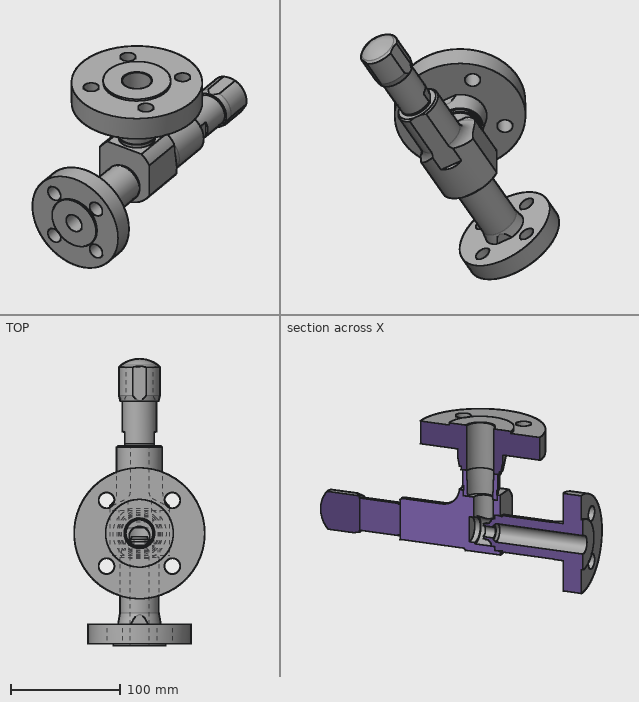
import cadquery as cq
import math


BLOCK_HALF_WIDTH = 27.4
BLOCK_FRONT_Y = -20.3
BLOCK_TOP_Z = 37.0
BLOCK_ROUND_RADIUS = 32.0
BLOCK_ROUND_CENTRE_Z = 11.0
BARREL_RADIUS = 21.0
BARREL_END_Y = 80.2
BARREL_CHAMFER = 1.5
SHOULDER_START_Y = 38.1
SHOULDER_RADIUS = 17.0
UNDERCUT_Z = -19.2
UNDERCUT_START_Y = 16.5

CHAMBER_RADIUS = 13.2
CHAMBER_END_Y = 5.0
GUIDE_BORE_RADIUS = 11.8
GUIDE_BORE_END_Y = 10.5
PORT_RADIUS = 9.5
PORT_Y = -3.2
SPIGOT_RADIUS = 16.8
SPIGOT_DEPTH = 5.3

BOLT_HOLE_RADIUS = 7.0
BOLT_HOLE_COUNT = 4

INLET_FACE = 103.0
INLET_RADIUS = 47.3
INLET_THICKNESS = 18.1
INLET_FACE_RADIUS = 24.2
INLET_FACE_HEIGHT = 1.8
INLET_BOLT_CIRCLE = 32.5
INLET_PIPE_RADIUS = 18.0
INLET_NECK_RADIUS = 19.7
INLET_NECK_LENGTH = 10.3
INLET_FLAT_OFFSET = 18.1
INLET_SPIGOT_GAP = 1.5
INLET_BORE_RADIUS = 8.7
INLET_BORE_TAPER_START = 15.8
INLET_BORE_TAPER_LENGTH = 2.5
THROAT_ENTRY_RADIUS = 6.3
THROAT_RADIUS = 5.0

SEAT_END = 3.2
SEAT_TIP_RADIUS = 7.0
SEAT_CONE_END = 5.5
SEAT_ROOT = 7.5
SEAT_ROOT_RADIUS = 8.0
SEAT_FLARE_RADIUS = 11.0
SEAT_FLARE_END = SEAT_ROOT + SEAT_FLARE_RADIUS - SEAT_ROOT_RADIUS

OUTLET_FACE = 100.2
OUTLET_RADIUS = 60.0
OUTLET_THICKNESS = 22.4
OUTLET_FACE_RADIUS = 31.0
OUTLET_FACE_HEIGHT = 2.0
OUTLET_BOLT_CIRCLE = 42.5
OUTLET_NECK_RADIUS = 24.5
OUTLET_NECK_END_RADIUS = 21.0
OUTLET_NECK_LENGTH = 16.3
OUTLET_FLAT_OFFSET = 23.0
OUTLET_LIP_RADIUS = 19.5
OUTLET_LIP_LENGTH = 3.2
OUTLET_BORE_RADIUS = 13.5
OUTLET_BORE_CHAMFER = 0.5
STUB_RADIUS = 18.0
STUB_BORE_RADIUS = 12.4
STUB_SPIGOT_GAP = 4.0
STUB_TOP_Z = OUTLET_FACE - OUTLET_FACE_HEIGHT - OUTLET_THICKNESS - OUTLET_NECK_LENGTH - OUTLET_LIP_LENGTH

BONNET_RADIUS = 15.8
BONNET_SHOULDER_Y = 81.8
BONNET_COLLAR_RADIUS = 15.0
BONNET_FLAT_OFFSET = 13.7
BONNET_FLAT_END_Y = 92.5
BONNET_FLAT_RUN_OUT = 0.5

CAP_START_Y = 120.7
CAP_START_RADIUS = 17.5
CAP_RADIUS = 19.0
CAP_CONE_END_Y = 126.2
CAP_CYLINDER_END_Y = 152.0
CAP_CHAMFER = 2.4
CAP_END_Y = 160.0
CAP_FLAT_OFFSET = 18.0
CAP_FLAT_COUNT = 3

CUTTER_SIZE = 157.8


def z_cylinder(radius, bottom, top):
    return cq.Workplane("XY").workplane(offset=bottom).circle(radius).extrude(top - bottom)


def turned_about_z(points):
    """Solid of revolution about Z from (radius, height) points."""
    return cq.Workplane("XZ").polyline(points).close().revolve(360, (0, 0), (0, 1))


def turned_about_y(points):
    """Solid of revolution about Y from (radius, position) points."""
    return cq.Workplane("XY").polyline(points).close().revolve(360, (0, 0), (0, 1))


def half_space_y(offset, bottom, top):
    """Block that lies beyond Y = offset, between two heights."""
    return (
        cq.Workplane("XY")
        .box(CUTTER_SIZE, CUTTER_SIZE, top - bottom, centered=(True, False, False))
        .translate((0, offset, bottom))
    )


def with_neck_flats(body, offset, bottom, top):
    """Trim a neck on the Z axis flat on both Y sides, between two heights."""
    cutter = half_space_y(offset, bottom, top)
    return body.cut(cutter).cut(cutter.mirror("XZ"))


def with_bolt_holes(body, bolt_circle, face):
    """Drill the bolt holes of a flange on the Z axis, midway between X and Y."""
    holes = (
        cq.Workplane("XY")
        .workplane(offset=face)
        .polarArray(bolt_circle, 180 / BOLT_HOLE_COUNT, 360, BOLT_HOLE_COUNT)
        .circle(BOLT_HOLE_RADIUS)
        .extrude(-face / 2)
    )
    return body.cut(holes)


def block_prism():
    """Block before its round end is turned: flat top and sides, trimmed by a cylinder along Y."""
    length = BARREL_END_Y - BLOCK_FRONT_Y
    height = BLOCK_TOP_Z - BLOCK_ROUND_CENTRE_Z + BLOCK_ROUND_RADIUS
    square = (
        cq.Workplane("XY")
        .box(2 * BLOCK_HALF_WIDTH, length, height, centered=(True, False, False))
        .translate((0, BLOCK_FRONT_Y, BLOCK_TOP_Z - height))
    )
    round_bar = (
        cq.Workplane("XZ", origin=(0, BARREL_END_Y, BLOCK_ROUND_CENTRE_Z))
        .circle(BLOCK_ROUND_RADIUS)
        .extrude(length)
    )
    return square.intersect(round_bar)


def turning_envelope():
    """Round envelope about Y: full size at the block, hollow shoulder, then the barrel."""
    shoulder_outer = BARREL_RADIUS + SHOULDER_RADIUS
    shoulder_end_y = SHOULDER_START_Y - SHOULDER_RADIUS
    slope = SHOULDER_RADIUS * math.sqrt(0.5)
    return (
        cq.Workplane("XY")
        .moveTo(0, BLOCK_FRONT_Y)
        .lineTo(CUTTER_SIZE, BLOCK_FRONT_Y)
        .lineTo(CUTTER_SIZE, shoulder_end_y)
        .lineTo(shoulder_outer, shoulder_end_y)
        .threePointArc((shoulder_outer - slope, SHOULDER_START_Y - slope), (BARREL_RADIUS, SHOULDER_START_Y))
        .lineTo(BARREL_RADIUS, BARREL_END_Y - BARREL_CHAMFER)
        .lineTo(BARREL_RADIUS - BARREL_CHAMFER, BARREL_END_Y)
        .lineTo(0, BARREL_END_Y)
        .close()
        .revolve(360, (0, 0), (0, 1))
    )


def undercut():
    """Flat milled under the barrel, with a 45 degree run-out towards the block."""
    depth = BARREL_RADIUS
    return (
        cq.Workplane("YZ", origin=(-BLOCK_HALF_WIDTH, 0, 0))
        .moveTo(UNDERCUT_START_Y, UNDERCUT_Z)
        .lineTo(BARREL_END_Y, UNDERCUT_Z)
        .lineTo(BARREL_END_Y, UNDERCUT_Z - depth)
        .lineTo(UNDERCUT_START_Y - depth, UNDERCUT_Z - depth)
        .close()
        .extrude(2 * BLOCK_HALF_WIDTH)
    )


def block_passages():
    """Chamber and inlet recess on Y, outlet recess and offset port on Z."""
    inlet_recess_end = BLOCK_FRONT_Y + SPIGOT_DEPTH
    inlet_bores = turned_about_y([
        (0, BLOCK_FRONT_Y),
        (SPIGOT_RADIUS, BLOCK_FRONT_Y),
        (SPIGOT_RADIUS, inlet_recess_end),
        (CHAMBER_RADIUS, inlet_recess_end),
        (CHAMBER_RADIUS, CHAMBER_END_Y),
        (GUIDE_BORE_RADIUS, CHAMBER_END_Y),
        (GUIDE_BORE_RADIUS, GUIDE_BORE_END_Y),
        (0, GUIDE_BORE_END_Y),
    ])
    outlet_floor = BLOCK_TOP_Z - SPIGOT_DEPTH
    outlet_recess = z_cylinder(SPIGOT_RADIUS, outlet_floor, BLOCK_TOP_Z)
    port = z_cylinder(PORT_RADIUS, 0, outlet_floor).translate((0, PORT_Y, 0))
    return inlet_bores.union(outlet_recess).union(port)


def make_housing():
    return block_prism().intersect(turning_envelope()).cut(undercut()).cut(block_passages())


def make_inlet_nozzle():
    """Flange, pipe and seat in one piece, built on Z and turned to point along -Y."""
    plate_front = INLET_FACE - INLET_FACE_HEIGHT
    plate_back = plate_front - INLET_THICKNESS
    neck_end = plate_back - INLET_NECK_LENGTH
    pipe_end = -BLOCK_FRONT_Y + INLET_SPIGOT_GAP
    spigot_end = -BLOCK_FRONT_Y - SPIGOT_DEPTH
    taper_end = INLET_BORE_TAPER_START - INLET_BORE_TAPER_LENGTH
    nozzle = turned_about_z([
        (THROAT_RADIUS, SEAT_END),
        (SEAT_TIP_RADIUS, SEAT_END),
        (SEAT_ROOT_RADIUS, SEAT_CONE_END),
        (SEAT_ROOT_RADIUS, SEAT_ROOT),
        (SEAT_FLARE_RADIUS, SEAT_FLARE_END),
        (CHAMBER_RADIUS, SEAT_FLARE_END),
        (CHAMBER_RADIUS, spigot_end),
        (SPIGOT_RADIUS, spigot_end),
        (SPIGOT_RADIUS, pipe_end),
        (INLET_PIPE_RADIUS, pipe_end),
        (INLET_PIPE_RADIUS, neck_end),
        (INLET_NECK_RADIUS, plate_back),
        (INLET_RADIUS, plate_back),
        (INLET_RADIUS, plate_front),
        (INLET_FACE_RADIUS, plate_front),
        (INLET_FACE_RADIUS, INLET_FACE),
        (INLET_BORE_RADIUS, INLET_FACE),
        (INLET_BORE_RADIUS, INLET_BORE_TAPER_START),
        (THROAT_ENTRY_RADIUS, taper_end),
        (THROAT_RADIUS, taper_end),
    ])
    nozzle = with_neck_flats(nozzle, INLET_FLAT_OFFSET, neck_end, plate_back)
    nozzle = with_bolt_holes(nozzle, INLET_BOLT_CIRCLE, INLET_FACE)
    return nozzle.rotate((0, 0, 0), (1, 0, 0), 90)


def make_outlet_flange():
    plate_front = OUTLET_FACE - OUTLET_FACE_HEIGHT
    plate_back = plate_front - OUTLET_THICKNESS
    neck_end = plate_back - OUTLET_NECK_LENGTH
    flange = turned_about_z([
        (OUTLET_BORE_RADIUS, STUB_TOP_Z),
        (OUTLET_LIP_RADIUS, STUB_TOP_Z),
        (OUTLET_LIP_RADIUS, neck_end),
        (OUTLET_NECK_END_RADIUS, neck_end),
        (OUTLET_NECK_RADIUS, plate_back),
        (OUTLET_RADIUS, plate_back),
        (OUTLET_RADIUS, plate_front),
        (OUTLET_FACE_RADIUS, plate_front),
        (OUTLET_FACE_RADIUS, OUTLET_FACE),
        (OUTLET_BORE_RADIUS + OUTLET_BORE_CHAMFER, OUTLET_FACE),
        (OUTLET_BORE_RADIUS, OUTLET_FACE - OUTLET_BORE_CHAMFER),
    ])
    flange = with_neck_flats(flange, OUTLET_FLAT_OFFSET, neck_end, plate_back)
    return with_bolt_holes(flange, OUTLET_BOLT_CIRCLE, OUTLET_FACE)


def make_outlet_stub():
    """Short pipe that joins the outlet flange to the block, with a tapered bore."""
    spigot_end = BLOCK_TOP_Z - SPIGOT_DEPTH
    pipe_end = BLOCK_TOP_Z + STUB_SPIGOT_GAP
    return turned_about_z([
        (STUB_BORE_RADIUS, spigot_end),
        (SPIGOT_RADIUS, spigot_end),
        (SPIGOT_RADIUS, pipe_end),
        (STUB_RADIUS, pipe_end),
        (STUB_RADIUS, STUB_TOP_Z),
        (OUTLET_BORE_RADIUS, STUB_TOP_Z),
    ])


def make_bonnet():
    """Spring bonnet with a collar on the barrel and a flat on each X side."""
    bonnet = turned_about_y([
        (0, BARREL_END_Y),
        (BONNET_COLLAR_RADIUS, BARREL_END_Y),
        (BONNET_COLLAR_RADIUS, BONNET_SHOULDER_Y),
        (BONNET_RADIUS, BONNET_SHOULDER_Y),
        (BONNET_RADIUS, CAP_START_Y),
        (0, CAP_START_Y),
    ])
    flat = (
        cq.Workplane("XY", origin=(0, 0, -BONNET_RADIUS))
        .moveTo(BONNET_FLAT_OFFSET, BARREL_END_Y)
        .lineTo(BONNET_RADIUS, BARREL_END_Y)
        .lineTo(BONNET_RADIUS, BONNET_FLAT_END_Y + BONNET_FLAT_RUN_OUT)
        .lineTo(BONNET_FLAT_OFFSET, BONNET_FLAT_END_Y)
        .close()
        .extrude(2 * BONNET_RADIUS)
    )
    return bonnet.cut(flat).cut(flat.mirror("YZ"))


def make_cap():
    dome_start_y = CAP_CYLINDER_END_Y + CAP_CHAMFER
    dome_edge = CAP_RADIUS - CAP_CHAMFER
    dome_height = CAP_END_Y - dome_start_y
    dome_radius = (dome_edge**2 + dome_height**2) / (2 * dome_height)
    half_angle = math.asin(dome_edge / dome_radius) / 2
    dome_middle = (
        dome_radius * math.sin(half_angle),
        CAP_END_Y - dome_radius * (1 - math.cos(half_angle)),
    )
    cap = (
        cq.Workplane("XY")
        .moveTo(0, CAP_START_Y)
        .lineTo(CAP_START_RADIUS, CAP_START_Y)
        .lineTo(CAP_RADIUS, CAP_CONE_END_Y)
        .lineTo(CAP_RADIUS, CAP_CYLINDER_END_Y)
        .lineTo(dome_edge, dome_start_y)
        .threePointArc(dome_middle, (0, CAP_END_Y))
        .close()
        .revolve(360, (0, 0), (0, 1))
    )
    top_flat = (
        cq.Workplane("XY")
        .box(CUTTER_SIZE, CAP_END_Y, CUTTER_SIZE, centered=(True, False, False))
        .translate((0, CAP_START_Y, CAP_FLAT_OFFSET))
    )
    for index in range(CAP_FLAT_COUNT):
        cap = cap.cut(top_flat.rotate((0, 0, 0), (0, 1, 0), index * 360 / CAP_FLAT_COUNT))
    return cap


housing = make_housing()
inlet_nozzle = make_inlet_nozzle()
outlet_flange = make_outlet_flange()
outlet_stub = make_outlet_stub()
bonnet = make_bonnet()
cap = make_cap()

result = cq.Compound.makeCompound([
    housing.val(),
    inlet_nozzle.val(),
    outlet_flange.val(),
    outlet_stub.val(),
    bonnet.val(),
    cap.val(),
])